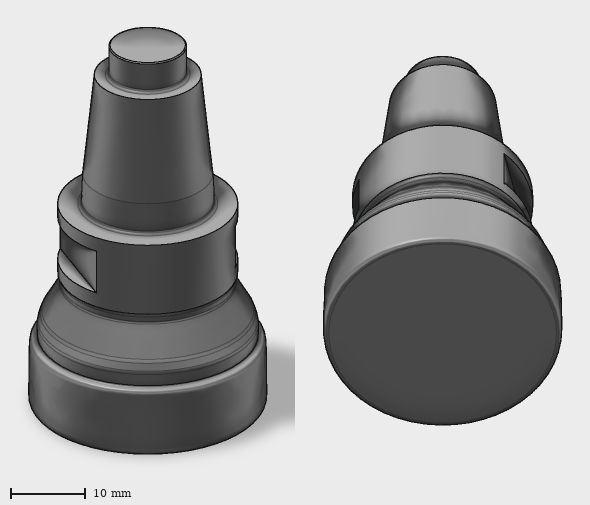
import cadquery as cq
import math

TOTAL_HEIGHT = 54.0
CAP_HEIGHT = 10.1
COLLAR_BOTTOM = 19.5
COLLAR_TOP = 29.95
NECK_TOP = 49.5

CAP_RADIUS = 16.0
CAP_BASE_RADIUS = 15.3
CAP_SIDE = [
    (15.75, 0.2),
    (CAP_RADIUS, 0.75),
    (CAP_RADIUS, 1.6),
    (CAP_RADIUS, 4.3),
    (15.95, 7.55),
    (15.9, 8.9),
    (15.75, 9.4),
    (15.55, 9.65),
    (15.25, 9.8),
    (14.95, 9.9),
]

FOOT_RADIUS = 14.85
FOOT_STRAIGHT_TOP = 11.75
LOWER_BLEND_TOP = 12.25
UPPER_BLEND_BOTTOM = 13.3
CONE_BOTTOM = 13.75
STEEP_CONE_ANGLE = math.radians(17)
CONE_ANGLE = math.radians(30)

GROOVE_RADIUS = 23.6 / 2
CONE_TOP = 17.9
GROOVE_LOWER_EDGE = 18.2
GROOVE_UPPER_EDGE = 18.9
GROOVE_ROOF_ANGLE = math.radians(53)

COLLAR_RADIUS = 24.2 / 2
FLAT_HALF_WIDTH = 10.0
FLAT_BOTTOM = 21.6
FLAT_TOP = 27.9

NECK_BASE_RADIUS = 8.9
NECK_BLEND_TOP = 34.5
NECK_BLEND_TOP_RADIUS = 8.75
NECK_TOP_RADIUS = 7.2
TIP_RADIUS = 10.4 / 2
ROOT_FILLET = 0.5
TIP_CHAMFER = 0.15


def blend_middle(start, end, start_angle, end_angle):
    """Middle point of the arc between two points, given the inward lean of the wall at each."""
    chord = math.hypot(end[0] - start[0], end[1] - start[1])
    sagitta = chord / 2 * math.tan((end_angle - start_angle) / 4)
    outward = ((end[1] - start[1]) / chord, (start[0] - end[0]) / chord)
    return (
        (start[0] + end[0]) / 2 + sagitta * outward[0],
        (start[1] + end[1]) / 2 + sagitta * outward[1],
    )


def wall_point(start, height, angle):
    """Point at a height on a wall that leans inward from start by an angle."""
    return (start[0] - (height - start[1]) * math.tan(angle), height)


def root_fillet(profile, radius, height):
    """Concave fillet rising from a shoulder to a wall of the given radius."""
    offset = ROOT_FILLET * (1 - math.sqrt(0.5))
    return profile.lineTo(radius + ROOT_FILLET, height).threePointArc(
        (radius + offset, height + offset), (radius, height + ROOT_FILLET)
    )


def make_cap():
    """Disc with one continuous side curve that sweeps up to meet the foot."""
    side = [(CAP_BASE_RADIUS, 0), *CAP_SIDE, (FOOT_RADIUS, CAP_HEIGHT)]
    profile = (
        cq.Workplane("XZ")
        .lineTo(*side[0])
        .spline(side[1:], includeCurrent=True)
        .lineTo(0, CAP_HEIGHT)
        .close()
    )
    return profile.revolve(360, (0, 0, 0), (0, 1, 0))


def make_turned_body():
    foot_top = (FOOT_RADIUS, FOOT_STRAIGHT_TOP)
    steep_bottom = wall_point(foot_top, LOWER_BLEND_TOP, STEEP_CONE_ANGLE / 2)
    steep_top = wall_point(steep_bottom, UPPER_BLEND_BOTTOM, STEEP_CONE_ANGLE)
    cone_bottom = wall_point(steep_top, CONE_BOTTOM, (STEEP_CONE_ANGLE + CONE_ANGLE) / 2)
    cone_top = wall_point(cone_bottom, CONE_TOP, CONE_ANGLE)
    groove_bottom = (GROOVE_RADIUS, GROOVE_LOWER_EDGE)
    groove_top = (GROOVE_RADIUS, GROOVE_UPPER_EDGE)
    collar_edge = (COLLAR_RADIUS, COLLAR_BOTTOM)
    foot_blend = blend_middle(foot_top, steep_bottom, 0, STEEP_CONE_ANGLE)
    cone_blend = blend_middle(steep_top, cone_bottom, STEEP_CONE_ANGLE, CONE_ANGLE)
    groove_lower_blend = blend_middle(cone_top, groove_bottom, CONE_ANGLE, 0)
    groove_upper_blend = blend_middle(groove_top, collar_edge, 0, -GROOVE_ROOF_ANGLE)

    profile = (
        cq.Workplane("XZ")
        .moveTo(0, CAP_HEIGHT)
        .lineTo(FOOT_RADIUS, CAP_HEIGHT)
        .lineTo(*foot_top)
        .threePointArc(foot_blend, steep_bottom)
        .lineTo(*steep_top)
        .threePointArc(cone_blend, cone_bottom)
        .lineTo(*cone_top)
        .threePointArc(groove_lower_blend, groove_bottom)
        .lineTo(*groove_top)
        .threePointArc(groove_upper_blend, collar_edge)
        .lineTo(COLLAR_RADIUS, COLLAR_TOP)
    )

    profile = root_fillet(profile, NECK_BASE_RADIUS, COLLAR_TOP)
    neck_base = (NECK_BASE_RADIUS, COLLAR_TOP + ROOT_FILLET)
    taper_bottom = (NECK_BLEND_TOP_RADIUS, NECK_BLEND_TOP)
    taper_angle = math.atan((NECK_BLEND_TOP_RADIUS - NECK_TOP_RADIUS) / (NECK_TOP - NECK_BLEND_TOP))
    neck_blend = blend_middle(neck_base, taper_bottom, 0, taper_angle)
    profile = profile.threePointArc(neck_blend, taper_bottom).lineTo(NECK_TOP_RADIUS, NECK_TOP)

    profile = (
        root_fillet(profile, TIP_RADIUS, NECK_TOP)
        .lineTo(TIP_RADIUS, TOTAL_HEIGHT - TIP_CHAMFER)
        .lineTo(TIP_RADIUS - TIP_CHAMFER, TOTAL_HEIGHT)
        .lineTo(0, TOTAL_HEIGHT)
        .close()
    )
    return profile.revolve(360, (0, 0, 0), (0, 1, 0))


def cut_wrench_flats(body):
    flat_height = FLAT_TOP - FLAT_BOTTOM
    for side in (-1, 1):
        cutter = cq.Workplane("XY").box(
            2 * COLLAR_RADIUS, COLLAR_RADIUS, flat_height, centered=(True, True, False)
        )
        center_y = side * (FLAT_HALF_WIDTH + COLLAR_RADIUS / 2)
        body = body.cut(cutter.translate((0, center_y, FLAT_BOTTOM)))
    return body


cap = make_cap()
body = cut_wrench_flats(make_turned_body())

result = cq.Compound.makeCompound([cap.val(), body.val()])